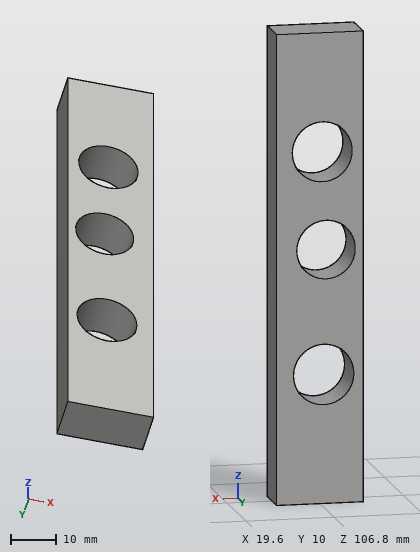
import cadquery as cq

width = 19.6
thickness = 10.0
height = 106.8

holes = [
    (-0.5, 26.4, 13.6),
    (-1.4, 4.2, 13.2),
    (-0.9, -24.1, 13.7),
]


def through_hole(x, z, diameter):
    """Cylinder along Y that spans the full thickness of the bar."""
    return (
        cq.Workplane("XZ", origin=(x, thickness / 2, z))
        .circle(diameter / 2)
        .extrude(thickness)
    )


result = cq.Workplane("XY").box(width, thickness, height)
for x, z, diameter in holes:
    result = result.cut(through_hole(x, z, diameter))